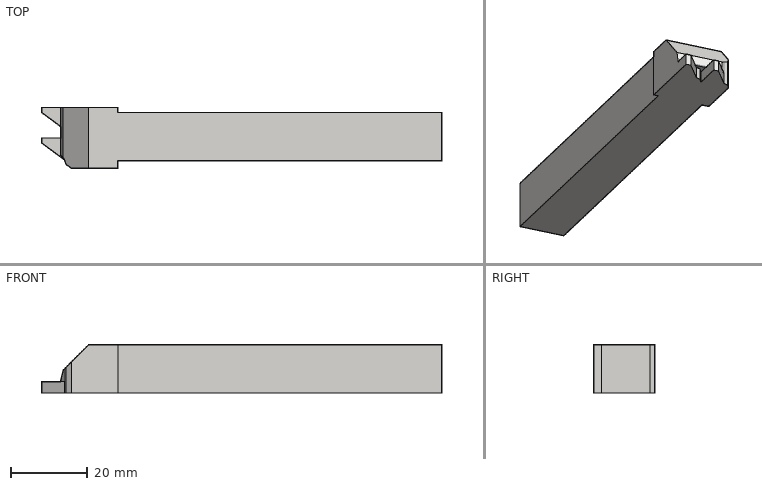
import cadquery as cq
import math

total_length = 105.0
head_length = 20.0
head_width = 16.0
height = 12.7

shank_width = 12.7
shank_offset = 1.3

nose_top_x = 12.35
nose_break_z = 6.0
lip_x = 5.0
lip_z = 3.3
tooth_height = 3.0

tooth_pitch = 8.0
tooth_tip_width = 1.35
flank_end_x = 6.0
flank_end_offset = 5.8
relief_end_x = 6.4
relief_end_offset = 7.0
heel_end_x = 7.85
nose_corner_radius = 2.0

nose_break_x = nose_top_x - (height - nose_break_z)


def tooth_edge(side_y):
    """Points of one tooth's front edge, from its straight side toward -Y."""
    return [
        (0, side_y),
        (0, side_y - tooth_tip_width),
        (flank_end_x, side_y - flank_end_offset),
        (relief_end_x, side_y - relief_end_offset),
    ]


def extrude_head(front_points, layer_height):
    """Head plan, closed from its front points around the rear and extruded from Z = 0."""
    rear_points = [(heel_end_x, 0), (head_length, 0), (head_length, head_width)]
    return cq.Workplane("XY").polyline(front_points + rear_points).close().extrude(layer_height)


def make_teeth():
    """Lower layer of the head, with the gap between the two teeth."""
    inner_tooth = tooth_edge(head_width)
    inner_heel = (heel_end_x, head_width - tooth_pitch)
    outer_tooth = tooth_edge(head_width - tooth_pitch)
    return extrude_head(inner_tooth + [inner_heel] + outer_tooth, tooth_height)


def make_nose():
    """Head above the teeth: its plan cut to the sloped side profile."""
    _, tip_end, flank_end, relief_end = tooth_edge(head_width - tooth_pitch)
    flank_angle = math.atan2(tip_end[1] - flank_end[1], flank_end[0] - tip_end[0])
    relief_angle = math.atan2(flank_end[1] - relief_end[1], relief_end[0] - flank_end[0])

    setback = nose_corner_radius * math.tan((relief_angle - flank_angle) / 2)
    corner_x = flank_end[0] - setback * math.cos(relief_angle)
    corner_y = flank_end[1] + setback * math.sin(relief_angle)
    flank_start = (0, corner_y + corner_x * math.tan(flank_angle))
    front_points = [(0, head_width), flank_start, (corner_x, corner_y), relief_end]
    corner_edge = cq.selectors.NearestToPointSelector((corner_x, corner_y, height / 2))
    plan = extrude_head(front_points, height).edges(corner_edge).fillet(nose_corner_radius)

    side_profile = [
        (lip_x, tooth_height),
        (lip_x, lip_z),
        (nose_break_x, nose_break_z),
        (nose_top_x, height),
        (head_length, height),
        (head_length, tooth_height),
    ]
    profile = cq.Workplane("XZ").polyline(side_profile).close().extrude(-head_width)
    return plan.intersect(profile)


def make_shank():
    """Square bar from the head to the rear end."""
    shank_length = total_length - head_length
    shank_y = head_width - shank_offset - shank_width
    bar = cq.Workplane("XY").box(shank_length, shank_width, height, centered=False)
    return bar.translate((head_length, shank_y, 0))


result = make_teeth().union(make_nose()).union(make_shank())